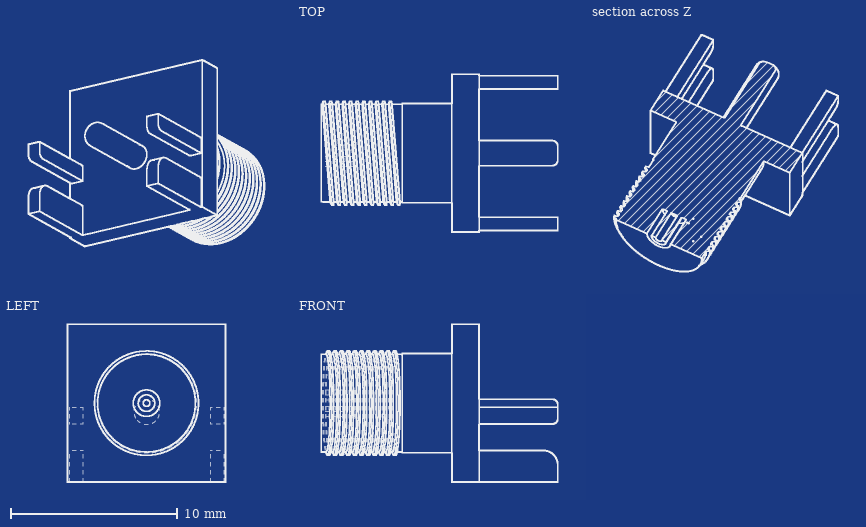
import cadquery as cq

total_length = 14.27
threaded_length = 4.88
barrel_length = 7.88
flange_thickness = 1.64
flange_size = 9.52
flange_back = barrel_length + flange_thickness
leg_length = total_length - flange_back

barrel_diameter = 6.0
thread_root_diameter = 5.9

ridge_count = 11
ridge_pitch = 0.4
ridge_tilt = 4.7
ridge_diameter = 6.3
first_ridge_x = 0.44
ridge_crest_width = 0.11
ridge_front_flank = 0.09
ridge_back_flank = 0.03

socket_diameter = 1.6
socket_depth = 2.0
contact_diameter = 1.0
contact_hole_diameter = 0.4

pin_diameter = 1.53
pin_center_z = -0.51
pin_tip_fillet = 0.35

leg_outer_y = 4.67
leg_width = 0.81
upper_leg_top = -0.25
board_slot_top = -1.25
board_slot_bottom = -2.84
upper_leg_fillet = 0.35
lower_leg_fillet = 0.9


def cylinder_x(diameter, start_x, length, center_z=0.0):
    """Solid cylinder along +X, starting at start_x."""
    plane = cq.Workplane("YZ", origin=(start_x, 0, center_z))
    return plane.circle(diameter / 2).extrude(length)


def thread_ridge(center_x):
    """Disc with a tapered rim, tilted about Z through its own centre."""
    root_radius = thread_root_diameter / 2
    crest_radius = ridge_diameter / 2
    half_crest = ridge_crest_width / 2
    front = -half_crest - ridge_front_flank
    back = half_crest + ridge_back_flank
    profile = [
        (front, 0),
        (front, root_radius),
        (-half_crest, crest_radius),
        (half_crest, crest_radius),
        (back, root_radius),
        (back, 0),
    ]
    ridge = cq.Workplane("XY").polyline(profile).close().revolve(360, (0, 0, 0), (1, 0, 0))
    return ridge.rotate((0, 0, 0), (0, 0, 1), ridge_tilt).translate((center_x, 0, 0))


def leg(inner_y, bottom_z, top_z):
    """Rectangular bar reaching from the flange to the full length."""
    bar = cq.Workplane("XY").box(leg_length, leg_width, top_z - bottom_z, centered=False)
    return bar.translate((flange_back, inner_y, bottom_z))


def flange():
    plate = cq.Workplane("XY").box(flange_thickness, flange_size, flange_size)
    return plate.translate((barrel_length + flange_thickness / 2, 0, 0))


def barrel():
    body = cylinder_x(thread_root_diameter, 0, threaded_length)
    body = body.union(cylinder_x(barrel_diameter, threaded_length, barrel_length - threaded_length))
    for index in range(ridge_count):
        body = body.union(thread_ridge(first_ridge_x + index * ridge_pitch))
    return body


def socket_cut():
    """Ring-shaped gap around the centre contact, plus the hole in the contact."""
    gap = cylinder_x(socket_diameter, 0, socket_depth)
    gap = gap.cut(cylinder_x(contact_diameter, 0, socket_depth))
    return gap.union(cylinder_x(contact_hole_diameter, 0, socket_depth))


def solder_pin():
    pin = cylinder_x(pin_diameter, flange_back, leg_length, pin_center_z)
    return pin.faces(">X").edges().fillet(pin_tip_fillet)


def leg_pair(inner_y):
    """Upper and lower bars with the board slot between them."""
    upper = leg(inner_y, board_slot_top, upper_leg_top)
    upper = upper.edges(">X and <Z").fillet(upper_leg_fillet)
    lower = leg(inner_y, -flange_size / 2, board_slot_bottom)
    lower = lower.edges(">X and >Z").fillet(lower_leg_fillet)
    return upper.union(lower)


result = barrel().cut(socket_cut()).union(flange()).union(solder_pin())
for inner_y in (leg_outer_y - leg_width, -leg_outer_y):
    result = result.union(leg_pair(inner_y))